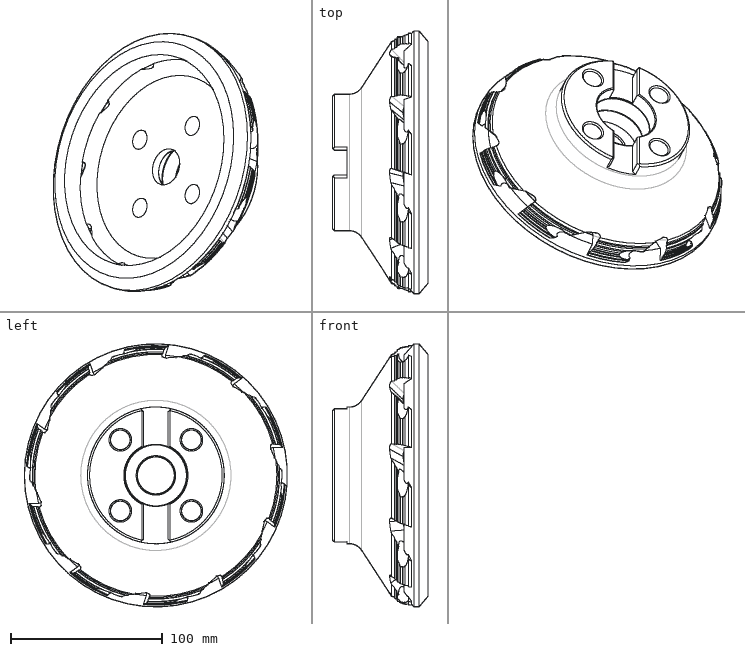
import cadquery as cq
import math

total_width = 63.0
rim_radius = 86.7

hub_radius = 45.1
hub_chamfer = 1.4
hub_length = 11.1
neck_fillet = 9.7
cone_angle = 57.0

bore_radius = 12.1
bore_chamfer = 0.9
mouth_radius = 20.5
mouth_past_keyway = 0.9
mouth_chamfer = 0.7
counterbore_radius = 20.1
counterbore_depth = 22.9
relief_radius = 20.8
relief_depth = 34.7
key_width = 16.1
key_depth = 9.5
key_chamfer = 1.2
key_end_chamfer = 2.5
bolt_offset = 23.5
bolt_hole_radius = 6.5
bolt_chamfer = 1.0

cone_wall = 12.1
cavity_floor_x = 41.6
cavity_radius = 71.1

rim_front_x = 47.0
rim_front_radius = 79.5
rim_back_radius = 79.8
rim_crown_start_x = 53.6
rim_crown_end_x = 57.0

land_start_x = 38.9
land_steps = [
    (41.0, 80.5),
    (41.1, 81.4),
    (42.3, 81.5),
    (42.8, 83.1),
    (43.9, 83.3),
    (44.8, 84.1),
    (46.1, 84.3),
    (46.3, 84.6),
    (47.7, 84.6),
    (47.9, 85.0),
    (50.0, 84.8),
    (50.1, 85.5),
    (52.2, 85.5),
]

pocket_count = 10
pocket_start_angle = 2.8
pocket_floor_radius = 76.3
pocket_floor_width = 9.5
pocket_floor_rise = 1.7
pocket_corner_radius = 3.5
pocket_ramp_angle = 42.0
pocket_ramp_width = 20.8
pocket_top_radius = 104.0
pocket_drop = 1.0
pocket_lean = 0.3
pocket_lead = 10.4
pocket_travel = 27.8

scoop_radius = 3.8
scoop_x = 45.0
scoop_land_radius = 84.3
scoop_exit_angle = 25.0
scoop_slope = 27.0
scoop_lean = -0.15
scoop_reach = 20.8

cone_slope = math.tan(math.radians(cone_angle))
cone_sine = math.sin(math.radians(cone_angle))
cone_cosine = math.cos(math.radians(cone_angle))
cone_start_x = hub_length + neck_fillet * cone_sine
cone_start_radius = hub_radius + neck_fillet * (1 - cone_cosine)


def cone_radius(x):
    """Radius of the outside of the cone at x."""
    return cone_start_radius + (x - cone_start_x) * cone_slope


def revolve_about_x(profile):
    return profile.close().revolve(360, (0, 0, 0), (1, 0, 0))


def x_cylinder(radius, start_x, end_x):
    return cq.Workplane("YZ", origin=(start_x, 0, 0)).circle(radius).extrude(end_x - start_x)


def countersink(radius, chamfer, start_x):
    """45 degree cone that opens towards -X at start_x."""
    return revolve_about_x(
        cq.Workplane("XY")
        .moveTo(start_x, 0)
        .lineTo(start_x, radius + chamfer)
        .lineTo(start_x + chamfer, radius)
        .lineTo(start_x + chamfer, 0)
    )


def make_body():
    half_angle = math.radians(cone_angle / 2)
    arc_middle = (
        hub_length + neck_fillet * math.sin(half_angle),
        hub_radius + neck_fillet * (1 - math.cos(half_angle)),
    )
    profile = (
        cq.Workplane("XY")
        .lineTo(0, hub_radius - hub_chamfer)
        .lineTo(hub_chamfer, hub_radius)
        .lineTo(hub_length, hub_radius)
        .threePointArc(arc_middle, (cone_start_x, cone_start_radius))
        .lineTo(land_start_x, cone_radius(land_start_x))
    )
    for corner in land_steps:
        profile = profile.lineTo(*corner)
    land_end_x = land_steps[-1][0]
    return revolve_about_x(profile.lineTo(land_end_x, 0))


def make_cavity():
    wall_along_x = cone_wall / cone_sine
    floor_radius = cone_radius(cavity_floor_x - wall_along_x)
    cone_end_x = cavity_floor_x + (cavity_radius - floor_radius) / cone_slope
    return revolve_about_x(
        cq.Workplane("XY")
        .moveTo(cavity_floor_x, 0)
        .lineTo(cavity_floor_x, floor_radius)
        .lineTo(cone_end_x, cavity_radius)
        .lineTo(total_width, cavity_radius)
        .lineTo(total_width, 0)
    )


def make_rim():
    return revolve_about_x(
        cq.Workplane("XY")
        .moveTo(rim_front_x, cavity_radius)
        .lineTo(rim_front_x, rim_front_radius)
        .lineTo(rim_crown_start_x, rim_radius)
        .lineTo(rim_crown_end_x, rim_radius)
        .lineTo(total_width, rim_back_radius)
        .lineTo(total_width, cavity_radius)
    )


def make_pocket_cutter():
    """Slanted prism at the top of the wheel: sideways is -Y, outward is +Z."""
    ramp_start_radius = pocket_floor_radius + pocket_floor_rise
    ramp_rise = pocket_ramp_width * math.tan(math.radians(pocket_ramp_angle))
    ramp_end = pocket_floor_width + pocket_ramp_width
    corner_inset = pocket_corner_radius * (1 - math.sqrt(0.5))
    start = (
        land_start_x - pocket_lead,
        pocket_lean * pocket_lead,
        pocket_drop * pocket_lead,
    )
    outline = (
        cq.Workplane("YZ", origin=start)
        .moveTo(0, pocket_top_radius)
        .lineTo(0, pocket_floor_radius + pocket_corner_radius)
        .threePointArc(
            (-corner_inset, pocket_floor_radius + corner_inset),
            (-pocket_corner_radius, pocket_floor_radius),
        )
        .lineTo(-pocket_floor_width, ramp_start_radius)
        .lineTo(-ramp_end, ramp_start_radius + ramp_rise)
        .lineTo(-ramp_end, pocket_top_radius)
        .close()
        .val()
    )
    travel = cq.Vector(1, -pocket_lean, -pocket_drop) * pocket_travel
    return cq.Workplane(cq.Solid.extrudeLinear(outline, [], travel))


def make_scoop_cutter():
    """Inclined cylinder whose lowest line leaves the land at the exit angle."""
    sine = math.sin(math.radians(scoop_slope))
    cosine = math.cos(math.radians(scoop_slope))
    exit_centre = cq.Vector(
        scoop_x,
        scoop_radius * sine,
        scoop_land_radius + scoop_radius * cosine,
    )
    direction = cq.Vector(scoop_lean, -cosine, sine).normalized()
    start = exit_centre - direction * scoop_reach
    cylinder = cq.Solid.makeCylinder(scoop_radius, 2 * scoop_reach, start, direction)
    return cq.Workplane(cylinder).rotate((0, 0, 0), (1, 0, 0), scoop_exit_angle)


def make_keyway():
    """Slot along Z across the hub face, with chamfered mouth edges."""
    half_width = key_width / 2
    half_mouth = half_width + key_chamfer
    slot = (
        cq.Workplane("XY")
        .moveTo(0, half_mouth)
        .lineTo(key_chamfer, half_width)
        .lineTo(key_depth, half_width)
        .lineTo(key_depth, -half_width)
        .lineTo(key_chamfer, -half_width)
        .lineTo(0, -half_mouth)
        .close()
        .extrude(hub_radius, both=True)
    )
    end_z = math.sqrt(hub_radius**2 - half_width**2) - key_end_chamfer
    flare = hub_radius - end_z
    end = (
        cq.Workplane("YZ")
        .moveTo(-half_width, end_z)
        .lineTo(half_width, end_z)
        .lineTo(half_width + flare, hub_radius)
        .lineTo(-half_width - flare, hub_radius)
        .close()
        .extrude(key_depth)
    )
    return slot.union(end).union(end.mirror("XY"))


result = make_body().cut(make_cavity())

for index in range(pocket_count):
    angle = pocket_start_angle + index * 360 / pocket_count
    cutter = make_pocket_cutter().union(make_scoop_cutter())
    result = result.cut(cutter.rotate((0, 0, 0), (1, 0, 0), angle))
result = result.union(make_rim())

result = result.cut(x_cylinder(bore_radius, 0, total_width))
result = result.cut(x_cylinder(mouth_radius, 0, key_depth + mouth_past_keyway))
result = result.cut(x_cylinder(counterbore_radius, 0, counterbore_depth))
result = result.cut(x_cylinder(relief_radius, counterbore_depth, relief_depth))
result = result.cut(countersink(mouth_radius, mouth_chamfer, 0))
result = result.cut(countersink(bore_radius, bore_chamfer, relief_depth))

result = result.cut(make_keyway())

for y in (-bolt_offset, bolt_offset):
    for z in (-bolt_offset, bolt_offset):
        result = result.cut(x_cylinder(bolt_hole_radius, 0, total_width).translate((0, y, z)))
        result = result.cut(countersink(bolt_hole_radius, bolt_chamfer, 0).translate((0, y, z)))